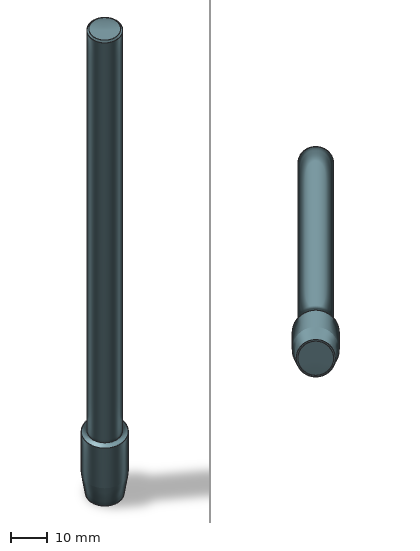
import cadquery as cq

total_length = 180.0
rod_diameter = 9.7
rod_tip_chamfer = 0.5
sleeve_diameter = 12.8
sleeve_length = 24.1
top_slope_drop = 0.5
nose_length = 8.0
nose_end_diameter = 10.6

rod_radius = rod_diameter / 2
sleeve_radius = sleeve_diameter / 2
nose_end_radius = nose_end_diameter / 2


def make_rod():
    """Round rod standing on the base plane, chamfered at its upper end."""
    return (
        cq.Workplane("XY")
        .circle(rod_radius)
        .extrude(total_length)
        .faces(">Z")
        .chamfer(rod_tip_chamfer)
    )


def make_sleeve():
    """Sleeve around the rod foot, with a conical nose and a sloped top."""
    return (
        cq.Workplane("XZ")
        .moveTo(rod_radius, 0)
        .lineTo(nose_end_radius, 0)
        .lineTo(sleeve_radius, nose_length)
        .lineTo(sleeve_radius, sleeve_length - top_slope_drop)
        .lineTo(rod_radius, sleeve_length)
        .close()
        .revolve(360, (0, 0, 0), (0, 1, 0))
    )


rod = make_rod()
sleeve = make_sleeve()

result = cq.Compound.makeCompound([rod.val(), sleeve.val()])